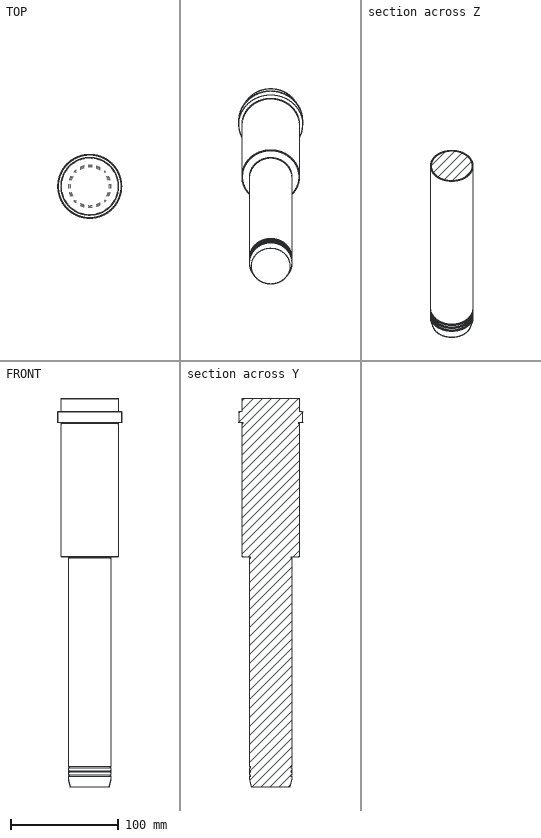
import cadquery as cq

length = 363.0
head_radius = 54.0 / 2
collar_radius = 60.0 / 2
shaft_radius = 40.0 / 2

head_bottom = 215.0
collar_top = length - 12.0
collar_height = 10.5

edge_chamfer = 0.7
top_chamfer = 0.5
relief_width = 1.0
relief_depth = 0.7

tip_radius = 18.0
tip_height = 7.3
groove_count = 3
groove_pitch = 4.0
groove_width = 1.0
groove_depth = 0.7
lowest_groove_bottom = tip_height + groove_pitch - groove_width


def cylinder(radius, bottom, height):
    """Solid cylinder on the Z axis, starting at the given height."""
    return cq.Workplane("XY").workplane(offset=bottom).circle(radius).extrude(height)


def tapered_tip():
    """Lead-in cone at the lower end of the shaft."""
    profile = [(0, 0), (tip_radius, 0), (shaft_radius, tip_height), (0, tip_height)]
    return cq.Workplane("XZ").polyline(profile).close().revolve(360, (0, 0), (0, 1))


def ring_groove(surface_radius, bottom, width, depth):
    """Ring to remove from a cylindrical surface of the given radius."""
    outer = cylinder(surface_radius, bottom, width)
    return outer.cut(cylinder(surface_radius - depth, bottom, width))


shaft = cylinder(shaft_radius, tip_height, head_bottom - tip_height)
for index in range(groove_count):
    groove_bottom = lowest_groove_bottom + index * groove_pitch
    shaft = shaft.cut(ring_groove(shaft_radius, groove_bottom, groove_width, groove_depth))
shaft = shaft.cut(ring_groove(shaft_radius, head_bottom - relief_width, relief_width, relief_depth))

collar_bottom = collar_top - collar_height
head = cylinder(head_radius, head_bottom, length - head_bottom)
head = head.faces("<Z").edges().chamfer(edge_chamfer)
head = head.faces(">Z").edges().chamfer(top_chamfer)
head = head.cut(ring_groove(head_radius, collar_bottom - relief_width, relief_width, relief_depth))

collar = cylinder(collar_radius, collar_bottom, collar_height)
collar = collar.faces(">Z").edges().chamfer(edge_chamfer)

result = tapered_tip().union(shaft).union(head).union(collar)